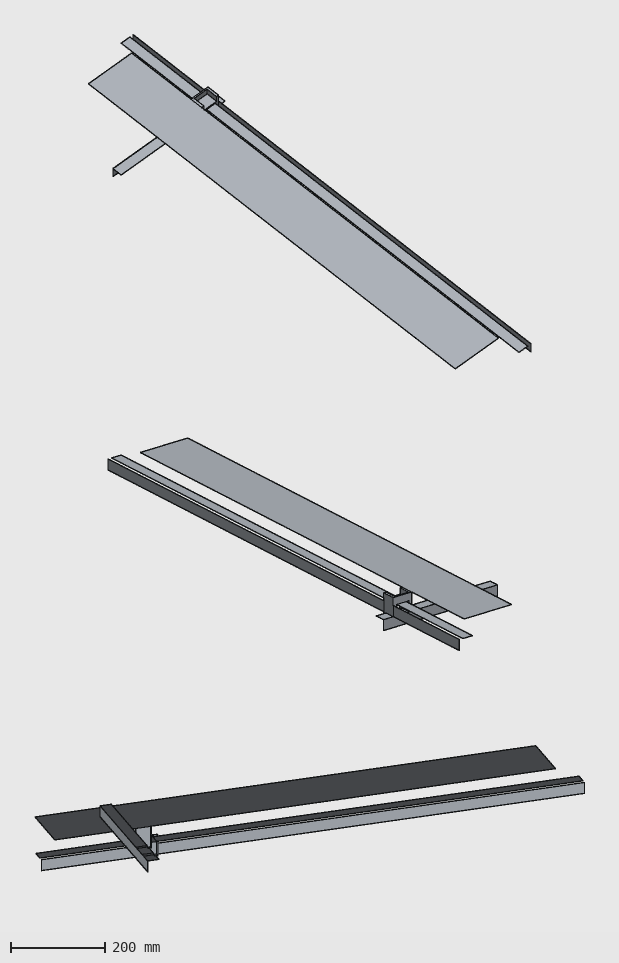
import cadquery as cq

rail_length = 1219.0
bar_length = 305.0
total_height = 70.0
sheet = 0.6
strip_width = 25.0

plate_margin = 48.0
plate_y_min = 102.0
plate_width = 127.0

bracket_x = 229.0
bracket_length = 33.0
bracket_y_min = plate_y_min + plate_width
bracket_y_max = 279.0
front_leg = 7.0
back_leg = 10.0
tray_side_wall = 4.0
tray_end_wall = 6.0
tray_floor = 4.0
hook_drop = 4.0

bar_top = strip_width
rail_top = bar_top + strip_width


def block(x_range, y_range, z_range):
    """Box spanning the given (low, high) range on each axis."""
    lows, highs = zip(x_range, y_range, z_range)
    size = [high - low for low, high in zip(lows, highs)]
    return cq.Workplane("XY").box(*size, centered=False).translate(lows)


def make_bracket():
    """Arch over the rail, notched for the cross bar, with a tray on top that is open upward and toward +X."""
    x_max = bracket_x + bracket_length
    body = block(
        (bracket_x, x_max),
        (bracket_y_min, bracket_y_max),
        (bar_top - hook_drop, total_height),
    )
    window = block(
        (bracket_x, x_max),
        (bracket_y_min + front_leg, bracket_y_max - back_leg),
        (bar_top - hook_drop, rail_top),
    )
    bar_notch = block(
        (bracket_x, bracket_x + strip_width),
        (bracket_y_min, bracket_y_max),
        (bar_top - hook_drop, bar_top),
    )
    tray = block(
        (bracket_x + tray_side_wall, x_max),
        (bracket_y_min + tray_end_wall, bracket_y_max - tray_end_wall),
        (rail_top + tray_floor, total_height),
    )
    return body.cut(window).cut(bar_notch).cut(tray)


def make_rail():
    """Upright strip on the bracket's back face and a flat strip under its arch."""
    upright = block(
        (0, rail_length),
        (bracket_y_max - sheet, bracket_y_max),
        (bar_top, rail_top),
    )
    flat_y_max = bracket_y_max - back_leg
    flat = block(
        (0, rail_length),
        (flat_y_max - strip_width, flat_y_max),
        (rail_top - sheet, rail_top),
    )
    return upright.union(flat)


def make_plate():
    return block(
        (plate_margin, rail_length - plate_margin),
        (plate_y_min, plate_y_min + plate_width),
        (total_height - sheet, total_height),
    )


def make_cross_bar():
    """Angle section: a flat top leg and an upright leg along its -X edge."""
    top_leg = block(
        (bracket_x, bracket_x + strip_width),
        (0, bar_length),
        (bar_top - sheet, bar_top),
    )
    side_leg = block((bracket_x, bracket_x + sheet), (0, bar_length), (0, bar_top))
    return top_leg.union(side_leg)


result = make_bracket().union(make_rail()).union(make_plate()).union(make_cross_bar())